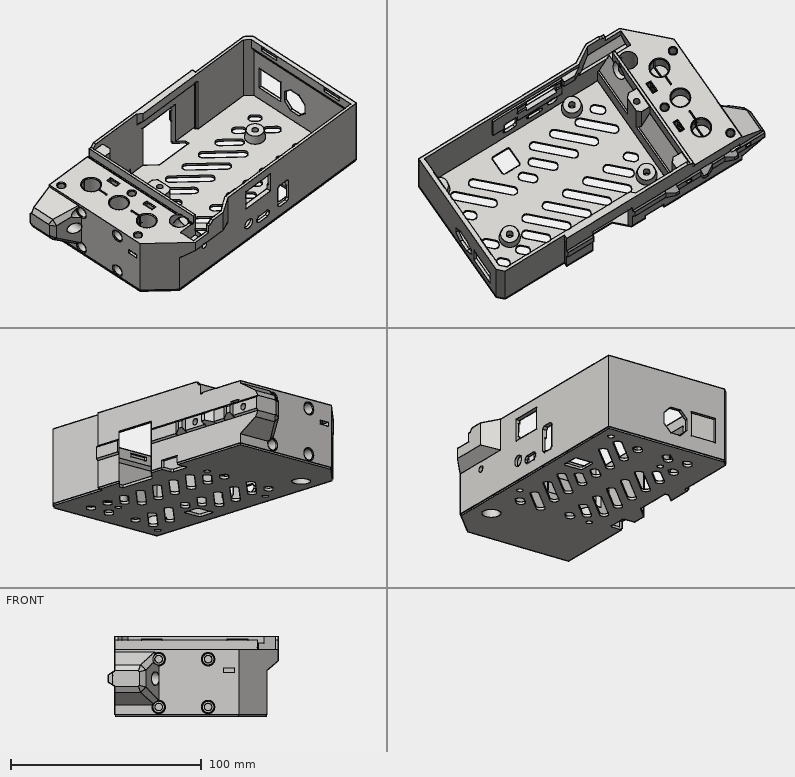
import cadquery as cq

width = 80.0
back_y = 150.3
height = 42.0
wall = 1.6
floor = 1.5
block_top = 35.1
block_back = 39.3
ridge_back = 32.1
ridge_front = 30.7
ridge_top = 40.0
ridge_end = 75.0
corner_start = 65.2
step_x = 2.3
step_y = 109.8
bulge_x = 85.9
bulge_y = 41.8
bulge_back = 51.8
rim_bottom = 36.2
rim_back = 147.7
rim_left = step_x + wall
rim_end = 65.5
rail_z = 19.8
rail_face = -1.0
nose_y = -13.6
cavity_right = width - wall
cavity_back = back_y - wall
bulge_inner = bulge_x - wall


def box(x0, x1, y0, y1, z0, z1):
    return cq.Workplane("XY").box(x1 - x0, y1 - y0, z1 - z0, centered=False).translate((x0, y0, z0))


def plan(points, z0, z1):
    """Prism with an XY outline."""
    return cq.Workplane("XY").workplane(offset=z0).polyline(points).close().extrude(z1 - z0)


def side(points, x0, x1):
    """Prism along X with a YZ outline."""
    return cq.Workplane("YZ").workplane(offset=x0).polyline(points).close().extrude(x1 - x0)


def profile(points, y0, y1):
    """Prism along Y with an XZ outline."""
    return cq.Workplane("XZ").workplane(offset=-y1).polyline(points).close().extrude(y1 - y0)


def rod_x(y, z, diameter, x0, x1):
    return cq.Workplane("YZ").workplane(offset=x0).center(y, z).circle(diameter / 2).extrude(x1 - x0)


def rod_y(x, z, diameter, y0, y1):
    return cq.Workplane("XZ").workplane(offset=-y1).center(x, z).circle(diameter / 2).extrude(y1 - y0)


def rod_z(x, y, diameter, z0, z1):
    return cq.Workplane("XY").workplane(offset=z0).center(x, y).circle(diameter / 2).extrude(z1 - z0)


back_chamfer = 3.5
bulge_bottom_out = 29.2
bulge_bottom_in = 24.1
rear_outline = [(width, back_y), (step_x + back_chamfer, back_y), (step_x, back_y - back_chamfer),
                (step_x, step_y), (0, step_y)]
body_outline = [(0, 0), (corner_start, 0), (bulge_x, bulge_x - corner_start), (bulge_x, bulge_y),
                (width, bulge_back)] + rear_outline
body = plan(body_outline, 0, height)

under_bulge = [(width, -1.6), (bulge_x + 1.6, -1.6), (bulge_x + 1.6, bulge_bottom_out),
               (bulge_x, bulge_bottom_out), (width, bulge_bottom_in)]
body = body.cut(profile(under_bulge, -1.6, bulge_back + 1.6))

drop_chamfer = 1.8
front_drop = [(-1.6, block_top), (ridge_front, block_top), (ridge_front, ridge_top), (ridge_back, ridge_top),
              (ridge_back + drop_chamfer, height), (ridge_back, height + 1.6), (-1.6, height + 1.6)]
body = body.cut(side(front_drop, -1.6, bulge_x + 1.6))

sill_top = 28.7
sill_bottom = 15.0
sill_y = 38.4
cavity_side = [
    (block_back, floor), (cavity_back, floor), (cavity_back, height + 1.6), (ridge_back, height + 1.6),
    (ridge_back, sill_top), (sill_y, sill_bottom), (block_back, sill_bottom),
]
cavity = side(cavity_side, wall, cavity_right)
corner_fill = 4.0
inner_chamfer = plan([(0, cavity_back), (rim_left, cavity_back - corner_fill),
                      (rim_left + corner_fill, cavity_back)], 0, height)
rear_left_wall = box(0, rim_left, step_y, back_y, 0, height)
rim_slope = 2.1
back_rim = side([(cavity_back, rim_bottom - rim_slope), (rim_back, rim_bottom), (rim_back, height),
                 (cavity_back, height)], wall, cavity_right)
left_rim_width = rim_left - wall
left_rim_outline = [(wall, rim_bottom - left_rim_width), (rim_left, rim_bottom), (rim_left, height),
                    (wall, height)]
left_rim = profile(left_rim_outline, rim_end, step_y + wall)
rim_tip_cut = plan([(wall, rim_end - 1.6), (rim_left + 1.6, rim_end - 1.6),
                    (rim_left + 1.6, rim_end + left_rim_width + 1.6), (wall, rim_end)], 0, height)
cavity = cavity.cut(rear_left_wall).cut(inner_chamfer).cut(back_rim).cut(left_rim.cut(rim_tip_cut))
body = body.cut(cavity)

pocket_front = 20.8
pocket_floor = 25.4
pocket_slope_top = 29.0
rest_x = 75.4
rest_corner_y = 55.4
pocket_slant = (rest_corner_y - bulge_y) / (bulge_inner - rest_x)
pocket_back = rest_corner_y - pocket_slant * (cavity_right - rest_x)
pocket_plan = [(ridge_end, pocket_front), (bulge_inner, pocket_front), (bulge_inner, bulge_y),
               (cavity_right, pocket_back), (cavity_right, ridge_back), (ridge_end, ridge_back)]
pocket_section = [(ridge_end, pocket_floor), (width, pocket_floor), (bulge_inner, pocket_slope_top),
                  (bulge_inner, height + 1.6), (ridge_end, height + 1.6)]
pocket = plan(pocket_plan, 0, height + 1.6).intersect(profile(pocket_section, 0, back_y))
body = body.cut(pocket)

groove_width = 1.1
groove_depth = 0.5
groove_front = ridge_front - groove_width
body = body.cut(box(-1.6, ridge_end, groove_front, ridge_front, block_top - groove_depth, block_top))

tab_top = 38.4
tab_chamfer = 2.0


def lid_tab(x0, x1):
    outline = [(x0, ridge_back), (x1, ridge_back),
               (x1, block_back - tab_chamfer), (x1 - tab_chamfer, block_back),
               (x0 + tab_chamfer, block_back), (x0, block_back - tab_chamfer)]
    return plan(outline, floor, tab_top)


tab_x = 45.5
tab_width = 12.5
tab_hole = 3.3
tab_hole_y = 36.2
tab_hole_depth = 9.8
corner_tab_end = 8.9
body = body.union(lid_tab(tab_x - tab_width / 2, tab_x + tab_width / 2))
body = body.union(lid_tab(0, corner_tab_end))
body = body.cut(rod_z(tab_x, tab_hole_y, tab_hole, tab_top - tab_hole_depth, tab_top))

pad_x = 77.4
pad_back = 105.4
pad_front = 62.1
pad_bottom = 17.4
pad_top = 37.7
body = body.union(box(pad_x, width - wall / 2, pad_front, pad_back, pad_bottom, pad_top))
rest_bottom = 32.0
rest_reach = cavity_right - rest_x
rest_plan = [(rest_x, pad_front), (rest_x, rest_corner_y), (cavity_right, pocket_back), (width, pocket_back),
             (width, pad_front)]
rest_section = [(rest_x, tab_top), (rest_x, rest_bottom), (cavity_right, rest_bottom - rest_reach),
                (width, rest_bottom - rest_reach), (width, tab_top)]
lid_rest = plan(rest_plan, 0, tab_top).intersect(profile(rest_section, 0, back_y))
body = body.union(lid_rest.intersect(box(0, width - wall / 2, 0, back_y, 0, height)))


def wall_opening(y0, y1, z0, z1, chamfer=0.0):
    cutter = box(cavity_right - wall, width + 1.6, y0, y1, z0, z1)
    return cutter.edges("|X").chamfer(chamfer) if chamfer else cutter


recess_depth = 0.8
recess = box(rest_x, pad_x + recess_depth, 62.6, 90.2, 27.2, 34.8)
body = body.cut(recess)
connector_window = wall_opening(65.5, 84.5, 24.1, 36.5)
tall_window = wall_opening(90.0, 98.4, 7.9, 23.1, 1.3)
long_window = wall_opening(74.0, 83.6, 7.4, 11.8, 1.5)
round_window = rod_x(67.7, 12.0, 6.0, cavity_right - wall, width + 1.6)
for opening in (connector_window, tall_window, long_window, round_window):
    body = body.cut(opening)

octagon_size = 14.8
octagon_chamfer = 4.3
octagon = cq.Workplane("XY").box(octagon_size, 4 * wall, octagon_size).edges("|Y").chamfer(octagon_chamfer)
octagon_x = 37.0
octagon_z = 15.1
body = body.cut(octagon.translate((octagon_x, back_y, octagon_z)))
back_window = box(11.5, 27.0, rim_back, back_y + 1.6, 9.5, 23.5)
body = body.cut(back_window)
latch_width = 10.8
latch_depth = 1.3
latch_bottom = 38.7
latch_top = 40.7
for latch_x in (14.1, 59.0):
    body = body.cut(box(latch_x, latch_x + latch_width, rim_back, rim_back + latch_depth,
                        latch_bottom, latch_top))

cutout_x = 7.7
window_front = 68.7
window_back = 93.5
window_top = 28.2
cutout_back = 98.9
cutout_slope = cutout_back - window_back
window_plan = [(-1.6, window_front - 1.6), (cutout_x, window_front + cutout_x), (cutout_x, cutout_back),
               (cutout_slope, cutout_back), (0, window_back), (-1.6, window_back)]
window = plan(window_plan, -1.6, window_top)
behind_wall = box(wall, cutout_x, window_back, cutout_back, floor, window_top)
body = body.cut(window.cut(behind_wall))
small_cutout_top = 5.0
small_cutout_chamfer = 0.8
small_cutout_front = 48.9
small_cutout_back = 60.7
small_cutout = box(-1.6, cutout_x, small_cutout_front, small_cutout_back, -1.6, small_cutout_top)
small_cutout = small_cutout.edges(">X and |Z").chamfer(small_cutout_chamfer)
body = body.cut(small_cutout)

rail_half = 3.1
rail_root_half = rail_half - rail_face
rail_bury = wall / 2
rail_section = [(rail_bury, rail_z - rail_root_half), (0, rail_z - rail_root_half),
                (rail_face, rail_z - rail_half), (rail_face, rail_z + rail_half),
                (0, rail_z + rail_root_half), (rail_bury, rail_z + rail_root_half)]
rail = profile(rail_section, nose_y, step_y).cut(window)
hook_tip = -3.5
hook_flat = 2.5
hook_ramp = 4.6
hook_tip_half = 1.8


def hook(flat_y, direction):
    """Hook with a square face at flat_y and a ramp on the side that direction points to."""
    flat_end = flat_y + direction * hook_flat
    ramp_end = flat_end + direction * hook_ramp
    outline = [(0, flat_y), (hook_tip, flat_y), (hook_tip, flat_end), (rail_face, ramp_end), (0, ramp_end)]
    section = [(0, rail_z - rail_root_half), (hook_tip, rail_z - hook_tip_half),
               (hook_tip, rail_z + hook_tip_half), (0, rail_z + rail_root_half)]
    return plan(outline, 0, height).intersect(profile(section, nose_y, back_y))


for flat_y, direction in ((41.3, 1), (26.2, -1), (4.5, 1)):
    rail = rail.union(hook(flat_y, direction))


nose_root_x = 23.3


def nose_section(y, right, half, chamfer):
    """Upright section at y: half is half its height; its right corners are chamfered."""
    points = [(0, rail_z - half), (right - chamfer, rail_z - half), (right, rail_z - half + chamfer),
              (right, rail_z + half - chamfer), (right - chamfer, rail_z + half), (0, rail_z + half)]
    return cq.Wire.makePolygon([cq.Vector(x, y, z) for x, z in points], close=True)


nose_root = nose_section(0, nose_root_x, 14.0, 2.3)
nose_shoulder = nose_section(-11.8, 16.4, 7.2, 2.8)
nose_tip = nose_section(nose_y, 13.0, rail_root_half, 0.5)
for start, end in ((nose_root, nose_shoulder), (nose_shoulder, nose_tip)):
    body = body.union(cq.Workplane(cq.Solid.makeLoft([start, end], True)))
body = body.union(rail)

cross_hole = 3.5
nose_hole_y = -3.3
rear_cross_hole_y = 33.8
nose_bore = 7.0
nose_bore_start = 14.8
body = body.cut(rod_x(nose_hole_y, rail_z, cross_hole, rail_face, nose_root_x))
body = body.cut(rod_x(nose_hole_y, rail_z, nose_bore, nose_bore_start, nose_root_x))
body = body.cut(rod_x(rear_cross_hole_y, rail_z, cross_hole, rail_face, width))

mouth = 0.5


def flared_mouth(centre, inward, diameter):
    """45 degree flare that widens a hole of this diameter at its mouth."""
    radius = diameter / 2
    return cq.Workplane(cq.Solid.makeCone(radius + mouth, radius, mouth, centre, inward))


def top_hole(x, y, diameter, depth):
    hole = rod_z(x, y, diameter, block_top - depth, block_top)
    flare = flared_mouth(cq.Vector(x, y, block_top), cq.Vector(0, 0, -1), diameter)
    return hole.union(flare)


middle_x = 35.9
button_spacing = 20.0
button_y = 15.2
button_diameter = 10.0
button_depth = 9.8
slit_width = 0.7
slit_inner = 8.9
slit_depth = 16.4
for offset in (-button_spacing, 0, button_spacing):
    body = body.cut(top_hole(middle_x + offset, button_y, button_diameter, button_depth))
slit_outer = button_spacing + button_diameter / 2
for direction in (-1, 1):
    x0, x1 = sorted((middle_x + direction * slit_inner, middle_x + direction * slit_outer))
    body = body.cut(box(x0, x1, button_y - slit_width / 2, button_y + slit_width / 2,
                        block_top - slit_depth, block_top))

screw = 4.0
top_screw_depth = 14.8
top_screws = [(5.0, 4.1), (60.0, 4.1), (middle_x, 25.1)]
for x, y in top_screws:
    body = body.cut(top_hole(x, y, screw, top_screw_depth))

cable = 10.0
cable_x = 68.4
cable_y = 26.7
body = body.cut(rod_z(cable_x, cable_y, cable, 0, block_top))
body = body.cut(rod_y(cable_x, sill_top, cable, cable_y, block_back))

front_screw_z = (5.0, 30.0)
front_screw_x = (23.1, 49.0)
front_screw_depth = 27.9
counterbore = 6.0
counterbore_depth = 7.4
nut_slot = 5.5
nut_thickness = 2.0
nut_slot_bottom = 1.6
nut_y = 24.6
for x in front_screw_x:
    for z in front_screw_z:
        body = body.cut(rod_y(x, z, screw, 0, front_screw_depth))
        body = body.cut(rod_y(x, z, counterbore, nose_y, counterbore_depth))
        body = body.cut(flared_mouth(cq.Vector(x, 0, z), cq.Vector(0, 1, 0), counterbore))
    slot = (cq.Workplane("XY").workplane(offset=block_top).center(x, nut_y)
            .rect(nut_slot, nut_thickness).extrude(nut_slot_bottom - block_top))
    slot_mouth = (cq.Workplane("XY").workplane(offset=block_top).center(x, nut_y)
                  .rect(nut_slot + 2 * mouth, nut_thickness + 2 * mouth).extrude(-mouth, taper=45))
    body = body.cut(slot).cut(slot_mouth)

front_nut_slot = box(57.2, 63.0, -1.6, 7.0, 23.1, 25.2)
left_nut_slot = box(-2.0, 7.9, 1.5, 7.0, 23.5, 25.1)
body = body.cut(front_nut_slot).cut(left_nut_slot)

slot_width = 4.8
first_row_y = 133.3
eighth_row_y = 44.5
row_pitch = (first_row_y - eighth_row_y) / 7
full = 19.8
whole = [(0, full)]
left_rows = [[(0, 6.5)], [(0, 6.9), (11.8, full)], [(0, 12.3)], whole, whole, whole, whole,
             [(6.7, full)], [(12.8, full)]]
right_rows = [[(0, 6.5)], [(0, 19.0)], whole, [(0, 8.7)], [(0, 12.6)], whole, whole,
              [(0, 17.9)], [(12.6, full)]]


def diagonal_slot(x, y, start, end):
    """45 degree slot; start and end bound it along X."""
    run = end - start - slot_width
    middle = (start + end) / 2
    return (cq.Workplane("XY").workplane(offset=-1.6).center(x + middle, y + middle)
            .slot2D(run * 2 ** 0.5 + slot_width, slot_width, 45).extrude(floor + 3.3))


for column_x, rows in ((16.7, left_rows), (48.5, right_rows)):
    for row, slots in enumerate(rows):
        for start, end in slots:
            body = body.cut(diagonal_slot(column_x, first_row_y - row * row_pitch, start, end))

floor_window_corner = 1.0
floor_window = box(61.1, 72.6, 98.7, 109.5, -1.6, floor + 1.6).edges("|Z").fillet(floor_window_corner)
body = body.cut(floor_window)

standoff_top = 6.5
standoff_base = 11.1
standoff_head = 9.5
standoff_hole = 3.5
standoffs = [(72.8, 142.1), (29.8, 126.0), (72.8, 59.0), (19.8, 46.9)]
for x, y in standoffs:
    standoff = (cq.Workplane("XY").workplane(offset=floor).center(x, y).circle(standoff_base / 2)
                .workplane(offset=standoff_top - floor).circle(standoff_head / 2).loft())
    body = body.union(standoff).cut(rod_z(x, y, standoff_hole, 0, standoff_top))

foot_height = 1.0
foot_step = 0.41
foot_outline = [(0, 0), (corner_start, 0), (width, width - corner_start)] + rear_outline
foot_inside = cq.Workplane("XY").polyline(foot_outline).close().offset2D(-foot_step).extrude(foot_height)
foot_ring = plan(foot_outline, 0, foot_height).cut(foot_inside)
body = body.cut(foot_ring)

result = body